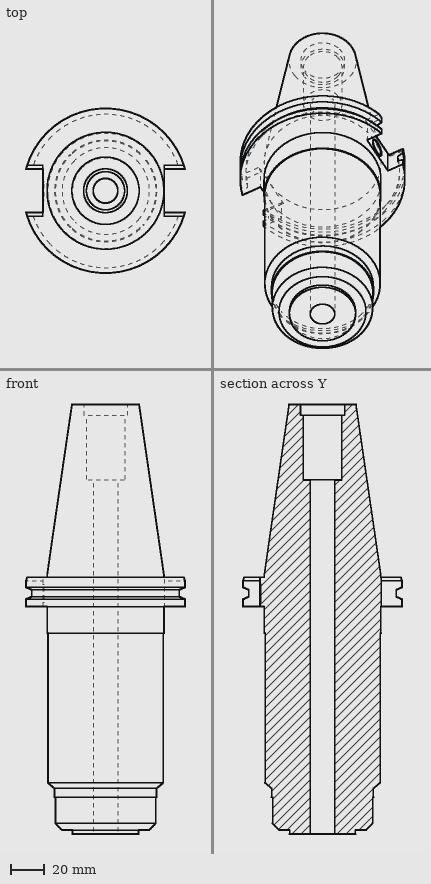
import cadquery as cq

gauge_radius = 34.925
taper_length = 101.6
taper_per_length = 7 / 24
taper_tip_radius = gauge_radius - taper_length * taper_per_length / 2

overall_length = 256.4
nose_z = taper_length - overall_length

flange_radius = 49.21
flange_top_z = -1.5
flange_bottom_z = -19.05
groove_floor_radius = 45.9
groove_center_z = -11.1
groove_width = 7.0
groove_floor_width = 4.0

collar_radius = gauge_radius
collar_bottom_z = -34.9
body_radius = 34.5
body_bottom_z = -124.3
neck_radius = 30.5
neck_top_z = -127.6
neck_bottom_z = -132.9
cap_radius = 30.0
cap_chamfer = 4.0
cap_bottom_z = -152.5
nose_radius = 19.8

slot_width = 25.9
slot_chamfer_width = 2.3
slot_chamfer_depth = 2.0
slot_floor_left = 37.4
slot_floor_right = 35.1

dimple_radius = 5.3
dimple_depth = 0.5
counterbore_radius = 13.1
counterbore_depth = 6.4
thread_bore_radius = 11.4
thread_bore_depth = 45.0
through_bore_radius = 7.3


def make_body():
    """Revolve the outside of the holder about Z."""
    outline = [
        (0, taper_length),
        (taper_tip_radius, taper_length),
        (gauge_radius, 0),
        (gauge_radius, flange_top_z),
        (flange_radius, flange_top_z),
        (flange_radius, groove_center_z + groove_width / 2),
        (groove_floor_radius, groove_center_z + groove_floor_width / 2),
        (groove_floor_radius, groove_center_z - groove_floor_width / 2),
        (flange_radius, groove_center_z - groove_width / 2),
        (flange_radius, flange_bottom_z),
        (collar_radius, flange_bottom_z),
        (collar_radius, collar_bottom_z),
        (body_radius, collar_bottom_z),
        (body_radius, body_bottom_z),
        (neck_radius, neck_top_z),
        (neck_radius, neck_bottom_z),
        (cap_radius, neck_bottom_z),
        (cap_radius, cap_bottom_z + cap_chamfer),
        (cap_radius - cap_chamfer, cap_bottom_z),
        (nose_radius, cap_bottom_z),
        (nose_radius, nose_z),
        (0, nose_z),
    ]
    return cq.Workplane("XZ").polyline(outline).close().revolve(360, (0, 0), (0, 1))


def drive_slot(side, floor_distance):
    """Slot cutter with chamfered top edges, on the -X (side = -1) or +X (side = 1) flank."""
    half_width = slot_width / 2
    half_mouth = half_width + slot_chamfer_width
    chamfer_bottom_z = flange_top_z - slot_chamfer_depth
    section = [
        (-half_width, flange_bottom_z),
        (half_width, flange_bottom_z),
        (half_width, chamfer_bottom_z),
        (half_mouth, flange_top_z),
        (-half_mouth, flange_top_z),
        (-half_width, chamfer_bottom_z),
    ]
    start = cq.Workplane("YZ").workplane(offset=side * floor_distance)
    return start.polyline(section).close().extrude(side * (flange_radius - floor_distance))


def slot_dimple():
    """Round blind hole in the floor of the -X slot."""
    start = cq.Workplane("YZ", origin=(-slot_floor_left, 0, groove_center_z))
    return start.circle(dimple_radius).extrude(dimple_depth)


def bore(radius, depth):
    """Axial bore cutter sunk from the small end of the taper."""
    return cq.Workplane("XY").workplane(offset=taper_length).circle(radius).extrude(-depth)


result = (
    make_body()
    .cut(drive_slot(-1, slot_floor_left))
    .cut(drive_slot(1, slot_floor_right))
    .cut(slot_dimple())
    .cut(bore(counterbore_radius, counterbore_depth))
    .cut(bore(thread_bore_radius, thread_bore_depth))
    .cut(bore(through_bore_radius, overall_length))
)